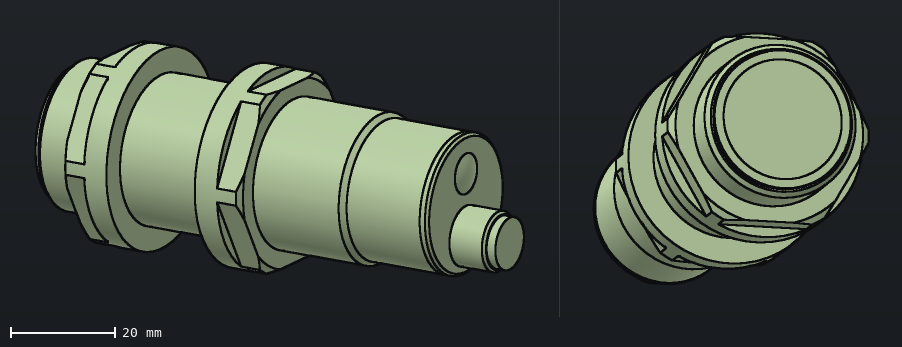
import cadquery as cq
import math

total_length = 98.8

sleeve_radius = 15.0
sleeve_chamfer = 1.0
neck_radius = 13.5
neck_length = 1.0
shoulder_start = 69.5
shoulder_length = 1.2
tail_radius = 14.0
tail_end = 87.1

disc_radius = 11.8
disc_thickness = neck_length

plug_thickness = 1.8
plug_chamfer = 0.6
plug_end = tail_end + plug_thickness

connector_radius = 6.0
connector_drop = 6.2
tip_radius = 5.2
tip_length = 2.0
connector_chamfer = 0.6

lamp_radius = 4.1
lamp_height = 0.9
lamp_rise = 6.2

flange_radius = 20.01
hex_across_flats = 36.0
flange_thickness = 5.0
hex_thickness = 5.0
nut_thickness = flange_thickness + hex_thickness
nut_chamfer_depth = 0.8
nut_chamfer_angle = 30.0
nut_chamfer_width = nut_chamfer_depth / math.tan(math.radians(nut_chamfer_angle))
front_nut_face = 10.0
rear_nut_face = 50.1


def turned(profile):
    """Revolve a closed (x, radius) profile about the X axis."""
    return profile.close().revolve(360, (0, 0, 0), (1, 0, 0))


def cylinder_along_x(start, length, radius):
    return cq.Workplane("YZ", origin=(start, 0, 0)).circle(radius).extrude(length)


def make_sleeve():
    """Stepped sleeve with a front neck and a recess for the sensing disc."""
    profile = (
        cq.Workplane("XY")
        .moveTo(disc_thickness, 0)
        .lineTo(disc_thickness, disc_radius)
        .lineTo(0, disc_radius)
        .lineTo(0, neck_radius)
        .lineTo(neck_length, neck_radius)
        .lineTo(neck_length, sleeve_radius - sleeve_chamfer)
        .lineTo(neck_length + sleeve_chamfer, sleeve_radius)
        .lineTo(shoulder_start, sleeve_radius)
        .lineTo(shoulder_start + shoulder_length, tail_radius)
        .lineTo(tail_end, tail_radius)
        .lineTo(tail_end, 0)
    )
    return turned(profile)


def make_sensing_disc():
    return cylinder_along_x(0, disc_thickness, disc_radius)


def make_end_plug():
    plug = cylinder_along_x(tail_end, plug_thickness, tail_radius)
    return plug.faces(">X").chamfer(plug_chamfer)


def make_connector():
    """Connector barrel with a chamfered end and a narrower tip."""
    barrel_length = total_length - tip_length - plug_end
    barrel = cylinder_along_x(plug_end, barrel_length, connector_radius)
    barrel = barrel.faces(">X").chamfer(connector_chamfer)
    tip = cylinder_along_x(plug_end + barrel_length, tip_length, tip_radius)
    return barrel.union(tip).translate((0, 0, -connector_drop))


def make_lamp():
    """Shallow spherical dome standing on the plug face."""
    sphere_radius = (lamp_radius**2 + lamp_height**2) / (2 * lamp_height)
    half_angle = math.asin(lamp_radius / sphere_radius) / 2
    arc_middle = (
        plug_end + lamp_height - sphere_radius * (1 - math.cos(half_angle)),
        sphere_radius * math.sin(half_angle),
    )
    profile = (
        cq.Workplane("XY")
        .moveTo(plug_end, 0)
        .lineTo(plug_end, lamp_radius)
        .threePointArc(arc_middle, (plug_end + lamp_height, 0))
    )
    return turned(profile).translate((0, 0, lamp_rise))


def make_nut(hex_face, flange_direction):
    """Nut with its hexagon face at X = hex_face and its flange towards flange_direction (+1 or -1)."""
    blank = cylinder_along_x(0, nut_thickness, flange_radius)
    blank = blank.faces("<X").chamfer(nut_chamfer_depth, nut_chamfer_width)
    hex_corner_diameter = hex_across_flats / math.cos(math.pi / 6)
    hexagon = cq.Workplane("YZ").polygon(6, hex_corner_diameter).extrude(hex_thickness)
    flange = cylinder_along_x(hex_thickness, flange_thickness, flange_radius)
    bore = cylinder_along_x(0, nut_thickness, sleeve_radius)
    nut = blank.intersect(hexagon.union(flange)).cut(bore)
    if flange_direction < 0:
        nut = nut.mirror("YZ")
    return nut.translate((hex_face, 0, 0))


sleeve = make_sleeve()
sensing_disc = make_sensing_disc()
end_plug = make_end_plug()
connector = make_connector()
lamp = make_lamp()
nuts = [make_nut(face, direction) for face, direction in ((front_nut_face, 1), (rear_nut_face, -1))]

result = cq.Compound.makeCompound(
    [
        sleeve.val(),
        sensing_disc.val(),
        end_plug.val(),
        connector.val(),
        lamp.val(),
        *[nut.val() for nut in nuts],
    ]
)